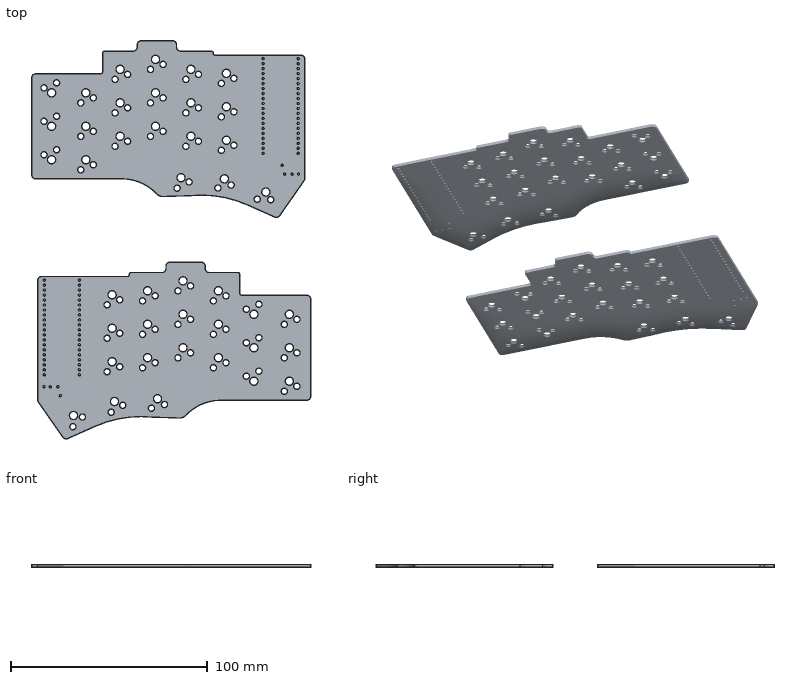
import cadquery as cq
import math


THICKNESS = 1.6
TOTAL_X = 142.0
TOTAL_Y = 202.5
BOARD_X = 139.0
BOARD_Y = 90.0

TAB_DROP = 5.3
CONTROLLER_DROP = 7.3
OUTER_DROP = 16.8
OUTER_BOTTOM_DROP = 70.3
CHAMFER_DROP = 70.7
SHOULDER_X = 46.5
TAB_INNER_X = 65.2
TAB_OUTER_X = 85.3
OUTER_STEP_X = 103.0
TIP_X = 13.8

THUMB_ARC_RADIUS = 57.7
THUMB_ARC_X = 52.7
THUMB_ARC_DROP = 78.6
THUMB_SLOPE = 24.0
THUMB_ARC_END = 6.0
PALM_ARC_RADIUS = 24.5
PALM_ARC_X = 93.2
PALM_ARC_SWEEP = 51.0

LARGE_RADIUS = 2.0
SHOULDER_RADIUS = 0.97
SMALL_RADIUS = 1.0
TIP_RADIUS = 2.0
PALM_RADIUS = 4.0

STEM_DIAMETER = 4.0
CONTACT_DIAMETER = 3.0
CONTACT_STEP = 1.28
CONTACTS = [(3 * CONTACT_STEP, -2 * CONTACT_STEP), (-2 * CONTACT_STEP, -4 * CONTACT_STEP)]

ROWS = 3
ROW_PITCH = 17.0
COLUMN_DROPS = [16.6, 14.5, 9.5, 14.5, 26.5, 26.5]
LEFT_COLUMN_X = [40.0, 58.0, 76.0, 94.0, 111.5, 128.8]
RIGHT_COLUMN_X = [37.9, 56.0, 74.0, 92.0, 110.0, 128.0]
LEFT_COLUMN_TURNS = [0, 0, 0, 0, 0, 180]
RIGHT_COLUMN_TURNS = [0, 0, 0, 0, 180, 0]

LEFT_THUMB_KEYS = [(63.0, 69.7, 6), (41.0, 70.3, -9), (19.9, 77.0, -24)]
RIGHT_THUMB_KEYS = [(61.0, 69.5, -6), (39.0, 71.0, 9), (18.2, 78.0, 24)]

PIN_DIAMETER = 1.0
HEADER_X = 3.5
HEADER_SPACING = 17.8
HEADER_DROP = 9.1
HEADER_LENGTH = 48.2
HEADER_PINS = 20
JACK_ROW_X = [3.2, 6.5, 10.3]
JACK_SINGLE_X = 11.5
JACK_UPPER_DROP = 63.5
JACK_LOWER_DROP = 67.9


def level(drop):
    """Height in the board frame of a point this far below the top of the tab."""
    return BOARD_Y - drop


def arc_point(center, radius, degrees):
    """Point on a circle, at an angle from straight up, positive toward +x."""
    angle = math.radians(degrees)
    return center[0] + radius * math.sin(angle), center[1] + radius * math.cos(angle)


def round_corner(board, corner, radius):
    x, y = corner
    reach = 0.2
    box = cq.selectors.BoxSelector((x - reach, y - reach, -reach), (x + reach, y + reach, THICKNESS + reach))
    return board.edges("|Z").edges(box).fillet(radius)


def blank():
    """Board without holes, in the board frame."""
    thumb_center = (THUMB_ARC_X, level(THUMB_ARC_DROP) - THUMB_ARC_RADIUS)
    thumb_start = arc_point(thumb_center, THUMB_ARC_RADIUS, -THUMB_SLOPE)
    thumb_crest = arc_point(thumb_center, THUMB_ARC_RADIUS, 0)
    thumb_end = arc_point(thumb_center, THUMB_ARC_RADIUS, THUMB_ARC_END)
    tip = (TIP_X, thumb_start[1] - (thumb_start[0] - TIP_X) * math.tan(math.radians(THUMB_SLOPE)))

    palm_center = (PALM_ARC_X, level(OUTER_BOTTOM_DROP) - PALM_ARC_RADIUS)
    palm_start = arc_point(palm_center, PALM_ARC_RADIUS, -PALM_ARC_SWEEP)
    palm_middle = arc_point(palm_center, PALM_ARC_RADIUS, -PALM_ARC_SWEEP / 2)
    palm_end = arc_point(palm_center, PALM_ARC_RADIUS, 0)

    outer_bottom = (BOARD_X, level(OUTER_BOTTOM_DROP))
    outer_top = (BOARD_X, level(OUTER_DROP))
    step_bottom = (OUTER_STEP_X, level(OUTER_DROP))
    step_top = (OUTER_STEP_X, level(TAB_DROP))
    tab_outer_foot = (TAB_OUTER_X, level(TAB_DROP))
    tab_outer_top = (TAB_OUTER_X, BOARD_Y)
    tab_inner_top = (TAB_INNER_X, BOARD_Y)
    tab_inner_foot = (TAB_INNER_X, level(TAB_DROP))
    shoulder_top = (SHOULDER_X, level(TAB_DROP))
    shoulder_foot = (SHOULDER_X, level(CONTROLLER_DROP))
    controller_top = (0, level(CONTROLLER_DROP))
    chamfer_top = (0, level(CHAMFER_DROP))

    board = (
        cq.Workplane("XY")
        .moveTo(*tip)
        .lineTo(*thumb_start)
        .threePointArc(thumb_crest, thumb_end)
        .lineTo(*palm_start)
        .threePointArc(palm_middle, palm_end)
        .lineTo(*outer_bottom)
        .lineTo(*outer_top)
        .lineTo(*step_bottom)
        .lineTo(*step_top)
        .lineTo(*tab_outer_foot)
        .lineTo(*tab_outer_top)
        .lineTo(*tab_inner_top)
        .lineTo(*tab_inner_foot)
        .lineTo(*shoulder_top)
        .lineTo(*shoulder_foot)
        .lineTo(*controller_top)
        .lineTo(*chamfer_top)
        .close()
        .extrude(THICKNESS)
    )
    corner_radii = [
        (tip, TIP_RADIUS),
        (palm_start, PALM_RADIUS),
        (outer_bottom, LARGE_RADIUS),
        (outer_top, LARGE_RADIUS),
        (step_bottom, SMALL_RADIUS),
        (step_top, SMALL_RADIUS),
        (tab_outer_foot, LARGE_RADIUS),
        (tab_outer_top, LARGE_RADIUS),
        (tab_inner_top, LARGE_RADIUS),
        (tab_inner_foot, LARGE_RADIUS),
        (shoulder_top, SHOULDER_RADIUS),
        (shoulder_foot, SHOULDER_RADIUS),
        (controller_top, LARGE_RADIUS),
        (chamfer_top, SMALL_RADIUS),
    ]
    for corner, radius in corner_radii:
        board = round_corner(board, corner, radius)
    return board


def drill(board, points, diameter):
    holes = cq.Workplane("XY").pushPoints(points).circle(diameter / 2).extrude(THICKNESS)
    return board.cut(holes)


def key_positions(column_x, column_turns, thumb_keys):
    """Center and turn of every key, in the board frame."""
    keys = [(x, level(drop), turn) for x, drop, turn in thumb_keys]
    for x, first_drop, turn in zip(column_x, COLUMN_DROPS, column_turns):
        for row in range(ROWS):
            keys.append((x, level(first_drop + row * ROW_PITCH), turn))
    return keys


def contact_points(x, y, turn):
    """The two contact holes of a switch centered at x, y and turned counterclockwise."""
    cosine = math.cos(math.radians(turn))
    sine = math.sin(math.radians(turn))
    return [(x + dx * cosine - dy * sine, y + dx * sine + dy * cosine) for dx, dy in CONTACTS]


def pin_points(jack_row_drop, jack_single_drop):
    """Header and jack pins, in the board frame."""
    pitch = HEADER_LENGTH / (HEADER_PINS - 1)
    points = []
    for x in (HEADER_X, HEADER_X + HEADER_SPACING):
        points += [(x, level(HEADER_DROP + i * pitch)) for i in range(HEADER_PINS)]
    points += [(x, level(jack_row_drop)) for x in JACK_ROW_X]
    points.append((JACK_SINGLE_X, level(jack_single_drop)))
    return points


def keyboard_half(outward, keys, pins):
    """Drilled board; outward is +1 or -1, the direction of its outer edge along X.

    The outline mirrors with outward, but the switch footprints do not.
    """
    board = blank()
    if outward < 0:
        board = board.mirror("YZ")
    placed_keys = [(outward * x, y, turn) for x, y, turn in keys]
    stems = [(x, y) for x, y, turn in placed_keys]
    contacts = [point for key in placed_keys for point in contact_points(*key)]
    board = drill(board, stems, STEM_DIAMETER)
    board = drill(board, contacts, CONTACT_DIAMETER)
    return drill(board, [(outward * x, y) for x, y in pins], PIN_DIAMETER)


left_keys = key_positions(LEFT_COLUMN_X, LEFT_COLUMN_TURNS, LEFT_THUMB_KEYS)
left_pins = pin_points(JACK_LOWER_DROP, JACK_UPPER_DROP)
left_board = keyboard_half(-1, left_keys, left_pins).translate((BOARD_X, TOTAL_Y - BOARD_Y, 0))

right_keys = key_positions(RIGHT_COLUMN_X, RIGHT_COLUMN_TURNS, RIGHT_THUMB_KEYS)
right_pins = pin_points(JACK_UPPER_DROP, JACK_LOWER_DROP)
right_board = keyboard_half(1, right_keys, right_pins).translate((TOTAL_X - BOARD_X, 0, 0))

result = cq.Compound.makeCompound([left_board.val(), right_board.val()])